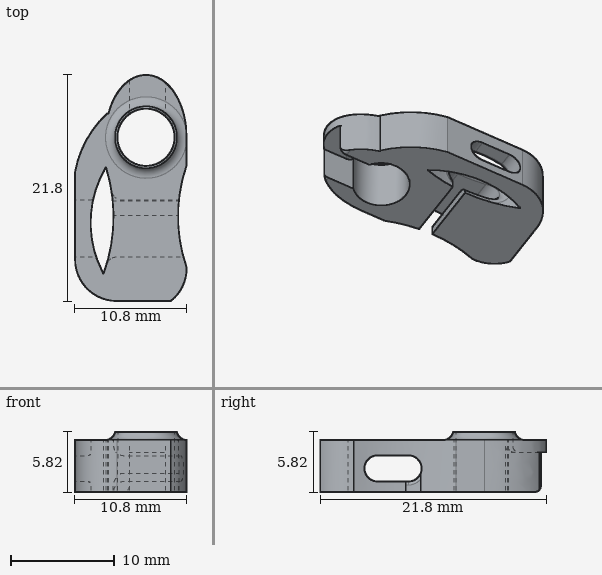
import cadquery as cq
import math

width = 10.77
length = 21.8
total_height = 5.82
boss_height = 0.78
plate_height = total_height - boss_height
corner_radius = 4.03

bore_radius = 5.5 / 2
boss_base_radius = 3.92
boss_top_radius = 2.99
bore_x = width - boss_base_radius
bore_y = 15.78

nose_half_length = length - bore_y
nose_slot_left = 1.6
nose_slot_right = 1.85
nose_slot_height = 3.84
nose_edge_radius = 0.65
nose_slot_rim_radius = 0.65

shoulder_start = (0, 12.43)
shoulder_middle = (1.05, 15.43)
shoulder_end = (3.12, 18.1)
waist_top = (width, 13.08)
waist_middle = (9.95, 8.18)
waist_bottom = (width, 3.25)
heel_middle = (10.35, 1.37)
heel_end = (9.22, 0)

lens_top = (2.99, 12.88)
lens_bottom = (2.75, 2.64)
lens_left = (1.53, 7.74)
lens_right = (3.7, 7.85)

slot_length = 5.5
slot_height = 2.49
slot_y = 7.02
slot_z = 2.29
outer_rim_radius = 0.33
inner_rim_radius = 0.98

drain_width = 1.42
drain_end_y = 9.68
drain_start_x = 3.27


def plate_body():
    """Plate with the shoulder, waist, heel and rounded corner."""
    corner_offset = corner_radius * (1 - math.sqrt(0.5))
    return (
        cq.Workplane("XY")
        .moveTo(*shoulder_start)
        .threePointArc(shoulder_middle, shoulder_end)
        .lineTo(bore_x, bore_y)
        .lineTo(width, bore_y)
        .lineTo(*waist_top)
        .threePointArc(waist_middle, waist_bottom)
        .threePointArc(heel_middle, heel_end)
        .lineTo(corner_radius, 0)
        .threePointArc((corner_offset, corner_offset), (0, corner_radius))
        .close()
        .extrude(plate_height)
    )


def nose():
    """Elliptical nose, slotted from below and rounded along its lower tip."""
    ellipse = (
        cq.Workplane("XY")
        .center(bore_x, bore_y)
        .ellipse(boss_base_radius, nose_half_length)
        .extrude(plate_height)
    )
    slot_side_ratio = nose_slot_left / boss_base_radius
    side_tip_y = bore_y + nose_half_length * math.sqrt(1 - slot_side_ratio**2)
    rounded_start = side_tip_y - nose_edge_radius
    arc_offset = nose_edge_radius * (1 - math.sqrt(0.5))
    edge_waste = (
        cq.Workplane("YZ")
        .moveTo(rounded_start, 0)
        .threePointArc((side_tip_y - arc_offset, arc_offset), (side_tip_y, nose_edge_radius))
        .lineTo(length, nose_edge_radius)
        .lineTo(length, 0)
        .close()
        .extrude(width)
    )
    return ellipse.cut(edge_waste)


def nose_slot():
    """Slot from the bore out through the nose, open at the bottom."""
    return cq.Workplane("XY").box(
        nose_slot_left + nose_slot_right, nose_half_length, nose_slot_height, centered=False
    ).translate((bore_x - nose_slot_left, bore_y, 0))


def flared_boss():
    """Boss whose concave side runs out tangent to the plate's top face."""
    flare = boss_base_radius - boss_top_radius
    flare_radius = (flare**2 + boss_height**2) / (2 * boss_height)
    half_angle = math.atan2(boss_height, flare)
    flare_middle = (
        boss_base_radius - flare_radius * math.sin(half_angle),
        flare_radius * (1 - math.cos(half_angle)),
    )
    return (
        cq.Workplane("XZ")
        .lineTo(boss_base_radius, 0)
        .threePointArc(flare_middle, (boss_top_radius, boss_height))
        .lineTo(0, boss_height)
        .close()
        .revolve(360, (0, 0, 0), (0, 1, 0))
        .translate((bore_x, bore_y, plate_height))
    )


def bore():
    return cq.Workplane("XY").center(bore_x, bore_y).circle(bore_radius).extrude(total_height)


def lens_opening():
    return (
        cq.Workplane("XY")
        .moveTo(*lens_bottom)
        .threePointArc(lens_left, lens_top)
        .threePointArc(lens_right, lens_bottom)
        .close()
        .extrude(plate_height)
    )


def cross_slot():
    return (
        cq.Workplane("YZ")
        .center(slot_y, slot_z)
        .slot2D(slot_length, slot_height)
        .extrude(width)
    )


def drain():
    """Opening below the rounded end of the cross slot, running out to the +X side."""
    return cq.Workplane("XY").box(
        width - drain_start_x, drain_width, slot_z, centered=False
    ).translate((drain_start_x, drain_end_y - drain_width, 0))


def bore_slot_rim(body):
    """Arc where the roof of the nose slot breaks into the bore."""
    rim_y = bore_y + math.sqrt(bore_radius**2 - nose_slot_right**2)
    margin = 0.02
    return body.edges(
        cq.selectors.BoxSelector(
            (bore_x - nose_slot_left - margin, rim_y - margin, nose_slot_height - margin),
            (
                bore_x + nose_slot_right + margin,
                bore_y + bore_radius + margin,
                nose_slot_height + margin,
            ),
            boundingbox=True,
        )
    )


def slot_rim(body, start_x, end_x):
    """Edges around the mouth of the cross slot on one wall of the lens opening."""
    margin = 0.02
    half_length = slot_length / 2 + margin
    half_height = slot_height / 2 + margin
    return body.edges(
        cq.selectors.BoxSelector(
            (start_x, slot_y - half_length, slot_z - half_height),
            (end_x, slot_y + half_length, slot_z + half_height),
            boundingbox=True,
        )
    )


result = plate_body().union(nose()).union(flared_boss())
result = result.cut(bore()).cut(nose_slot()).cut(lens_opening()).cut(cross_slot())

lens_split_x = (lens_top[0] + lens_bottom[0]) / 2
result = slot_rim(result, lens_left[0] - 0.22, lens_split_x).fillet(outer_rim_radius)
result = slot_rim(result, lens_split_x, lens_right[0] + 0.22).fillet(inner_rim_radius)

result = result.cut(drain())
result = bore_slot_rim(result).fillet(nose_slot_rim_radius)